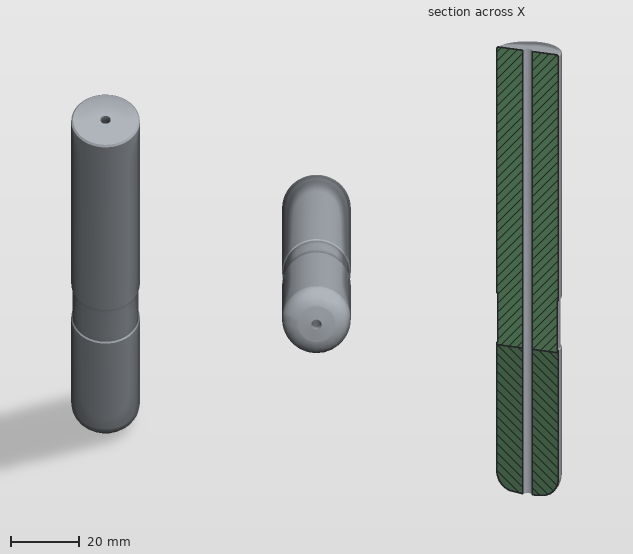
import cadquery as cq
import math

total_length = 135.0
outer_radius = 10.0
bore_radius = 1.5

top_chamfer = 0.5
neck_radius = 9.6
neck_bottom = 45.0
neck_top = 60.3
neck_bevel = outer_radius - neck_radius

head_height = 44.3
tip_height = 6.0
corner_radius = 5.5


def make_shank():
    """Long bored bar with a chamfered top and a shallow neck, bevelled at both ends."""
    outline = [
        (bore_radius, head_height),
        (outer_radius, head_height),
        (outer_radius, neck_bottom),
        (neck_radius, neck_bottom + neck_bevel),
        (neck_radius, neck_top - neck_bevel),
        (outer_radius, neck_top),
        (outer_radius, total_length - top_chamfer),
        (outer_radius - top_chamfer, total_length),
        (bore_radius, total_length),
    ]
    return cq.Workplane("XZ").polyline(outline).close().revolve(360, (0, 0), (0, 1))


def make_head():
    """Bored cylinder with a domed nose whose corner is tangent to the side and to the dome."""
    corner_x = outer_radius - corner_radius

    slope = tip_height / corner_radius
    offset = (corner_radius**2 - corner_x**2 - tip_height**2 - bore_radius**2) / (2 * corner_radius)
    quad_a = slope**2 - 1
    quad_b = 2 * slope * offset
    quad_c = offset**2 - bore_radius**2
    dome_center = (-quad_b + math.sqrt(quad_b**2 - 4 * quad_a * quad_c)) / (2 * quad_a)
    dome_radius = math.hypot(dome_center, bore_radius)

    blend_angle = math.atan2(corner_x, dome_center - tip_height)
    bore_angle = math.asin(bore_radius / dome_radius)

    def dome_point(angle):
        return dome_radius * math.sin(angle), dome_center - dome_radius * math.cos(angle)

    corner_angle = (blend_angle + math.pi / 2) / 2
    corner_middle = (
        corner_x + corner_radius * math.sin(corner_angle),
        tip_height - corner_radius * math.cos(corner_angle),
    )
    return (
        cq.Workplane("XZ")
        .moveTo(bore_radius, head_height)
        .lineTo(outer_radius, head_height)
        .lineTo(outer_radius, tip_height)
        .threePointArc(corner_middle, dome_point(blend_angle))
        .threePointArc(dome_point((blend_angle + bore_angle) / 2), (bore_radius, 0))
        .close()
        .revolve(360, (0, 0), (0, 1))
    )


shank = make_shank()
head = make_head()
result = cq.Compound.makeCompound([shank.val(), head.val()])